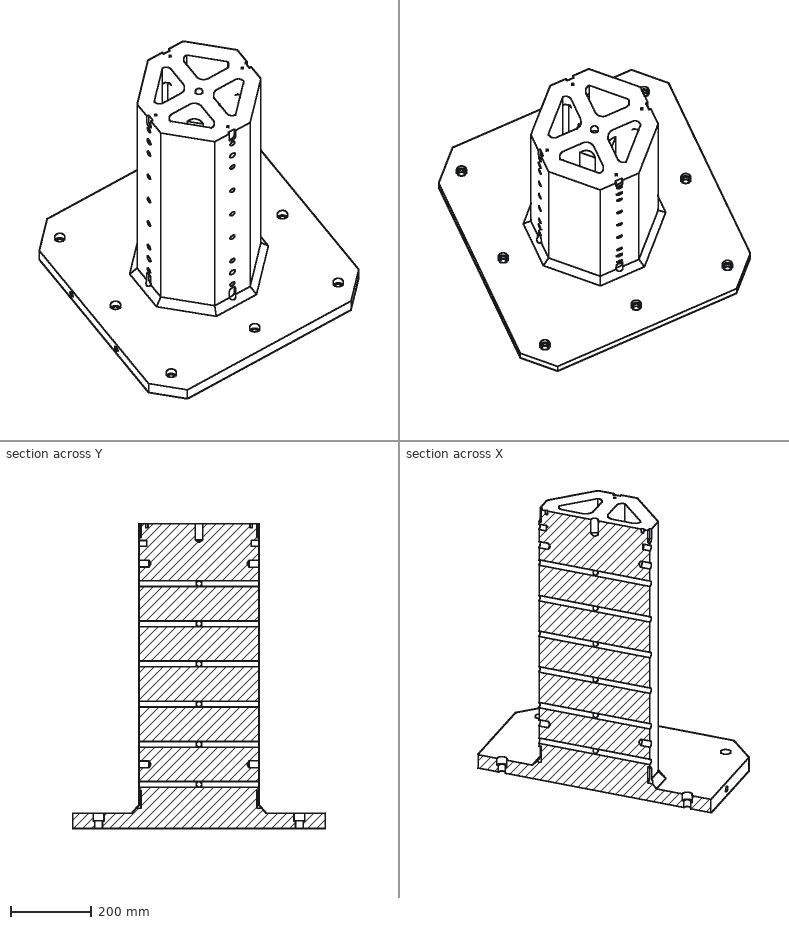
import cadquery as cq
import math

height = 760.0
plate_side = 630.0
plate_thickness = 39.0
plate_corner_cut = 70.0
mount_spacing = 250.0
mount_hole_diameter = 18.0
mount_counterbore_diameter = 26.0
mount_counterbore_depth = plate_thickness / 2
edge_hole_spacing = 201.0
edge_hole_diameter = 14.0
edge_hole_depth = 25.0

column_width = 300.0
column_diagonal_width = 287.0
foot_flare = 17.5
foot_height = 20.0

wall = 40.0
rib_thickness = 40.0
core_corner = 29.0
cap_thickness = 67.0
window_inner_radius = 21.0
window_tip_radius = 15.0

lowest_face_hole = 110.0
highest_face_hole = 710.5
through_hole_count = 6
face_hole_pitch = (highest_face_hole - lowest_face_hole) / through_hole_count
face_hole_diameter = 14.0
top_face_hole_depth = 20.0
pin_hole_diameter = 16.0
pin_hole_depth = 25.0
slot_width = 18.0
slot_run = 26.0
lower_slot_start = 60.0
slot_depth = 5.0

center_hole_diameter = 18.0
center_hole_depth = 40.0
dowel_diameter = 5.0
dowel_depth = 10.0
dowel_offset = 130.0

drill_tip_angle = 118.0
face_angles = (0, 90, 180, 270)

column_half = column_width / 2
column_half_diagonal = column_diagonal_width / 2
pin_hole_levels = (
    lowest_face_hole + face_hole_pitch / 2,
    highest_face_hole - face_hole_pitch / 2,
)


def octagon(offset):
    """Corner points of the column outline, moved outward by offset."""
    half = column_half + offset
    half_flat = math.sqrt(2) * (column_half_diagonal + offset) - half
    return [
        (half, half_flat),
        (half_flat, half),
        (-half_flat, half),
        (-half, half_flat),
        (-half, -half_flat),
        (-half_flat, -half),
        (half_flat, -half),
        (half, -half_flat),
    ]


def around_axis(tool):
    """Copies of a tool turned to each of the four main faces."""
    copies = cq.Workplane()
    for angle in face_angles:
        copies = copies.add(tool.rotate((0, 0, 0), (0, 0, 1), angle))
    return copies.combine()


def drill(diameter, depth):
    """Drilling tool with a conical tip, entering at the origin and pointing down."""
    radius = diameter / 2
    tip = radius / math.tan(math.radians(drill_tip_angle / 2))
    return (
        cq.Workplane("XZ")
        .polyline([(0, 0), (radius, 0), (radius, -depth), (0, -depth - tip)])
        .close()
        .revolve(360, (0, 0), (0, 1))
    )


def inward(tool, x, face, z):
    """Turn a downward tool so that it enters the -Y face at distance face from the axis."""
    return tool.rotate((0, 0, 0), (1, 0, 0), 90).translate((x, -face, z))


def make_plate():
    return (
        cq.Workplane()
        .box(plate_side, plate_side, plate_thickness, centered=(True, True, False))
        .edges("|Z")
        .chamfer(plate_corner_cut)
    )


def make_column():
    foot = (
        cq.Workplane()
        .workplane(offset=plate_thickness)
        .polyline(octagon(foot_flare))
        .close()
        .workplane(offset=foot_height)
        .polyline(octagon(0))
        .close()
        .loft(ruled=True)
    )
    shaft = (
        cq.Workplane()
        .workplane(offset=plate_thickness)
        .polyline(octagon(0))
        .close()
        .extrude(height - plate_thickness)
    )
    return foot.union(shaft)


def make_cell(inner_cut, bottom, top):
    """One quarter of the hollow interior, with its axis corner cut back by inner_cut."""
    near = rib_thickness / 2
    far = column_half - wall
    diagonal_sum = math.sqrt(2) * (column_half_diagonal - wall)
    outer_corners = [
        (far, near),
        (far, diagonal_sum - far),
        (diagonal_sum - far, far),
        (near, far),
    ]
    if inner_cut > 0:
        inner_corners = [(near, near + inner_cut), (near + inner_cut, near)]
    else:
        inner_corners = [(near, near)]
    return (
        cq.Workplane()
        .workplane(offset=bottom)
        .polyline(outer_corners + inner_corners)
        .close()
        .extrude(top - bottom)
    )


def make_cavity():
    """Interior cell below the cap, leaving a core around the axis."""
    return make_cell(core_corner, 0, height - cap_thickness)


def make_window():
    """Opening through the cap, rounded where the outer walls and the ribs meet."""
    near = rib_thickness / 2
    far = column_half - wall
    window = make_cell(0, height - cap_thickness, height)
    rounded_corners = (
        (near, near, window_inner_radius),
        (far, near, window_tip_radius),
        (near, far, window_tip_radius),
    )
    for x, y, radius in rounded_corners:
        corner = cq.selectors.NearestToPointSelector((x, y, height - cap_thickness / 2))
        window = window.edges("|Z").edges(corner).fillet(radius)
    return window


def make_slot(start, end):
    """Key slot in the -Y face, with its round ends centred at heights start and end."""
    run = end - start
    return (
        cq.Workplane("XZ", origin=(0, -column_half + slot_depth, (start + end) / 2))
        .slot2D(run + slot_width, slot_width, 90)
        .extrude(slot_depth + foot_flare)
    )


def cut_plate_holes(body):
    for x in (-mount_spacing, 0, mount_spacing):
        for y in (-mount_spacing, 0, mount_spacing):
            if x == 0 and y == 0:
                continue
            body = body.cut(
                cq.Workplane(origin=(x, y, 0))
                .circle(mount_hole_diameter / 2)
                .extrude(plate_thickness)
            )
            body = body.cut(
                cq.Workplane(origin=(x, y, plate_thickness))
                .circle(mount_counterbore_diameter / 2)
                .extrude(-mount_counterbore_depth)
            )
    for x in (-edge_hole_spacing / 2, edge_hole_spacing / 2):
        hole = inward(
            drill(edge_hole_diameter, edge_hole_depth), x, plate_side / 2, plate_thickness / 2
        )
        body = body.cut(hole).cut(hole.mirror("XZ"))
    return body


def cut_face_features(body):
    for index in range(through_hole_count):
        level = lowest_face_hole + index * face_hole_pitch
        for plane in ("XZ", "YZ"):
            body = body.cut(
                cq.Workplane(plane, origin=(0, 0, level))
                .circle(face_hole_diameter / 2)
                .extrude(column_half, both=True)
            )

    top_hole = (
        cq.Workplane("XZ", origin=(0, -column_half + top_face_hole_depth, highest_face_hole))
        .circle(face_hole_diameter / 2)
        .extrude(top_face_hole_depth)
    )
    body = body.cut(around_axis(top_hole))
    for level in pin_hole_levels:
        pin_hole = inward(drill(pin_hole_diameter, pin_hole_depth), 0, column_half, level)
        body = body.cut(around_axis(pin_hole))

    lower_slot = make_slot(lower_slot_start, lower_slot_start + slot_run)
    upper_slot = make_slot(height - slot_run, height + slot_width)
    return body.cut(around_axis(lower_slot)).cut(around_axis(upper_slot))


def cut_top_holes(body):
    center_hole = drill(center_hole_diameter, center_hole_depth).translate((0, 0, height))
    dowel_hole = (
        cq.Workplane(origin=(dowel_offset, 0, height))
        .circle(dowel_diameter / 2)
        .extrude(-dowel_depth)
    )
    return body.cut(center_hole).cut(around_axis(dowel_hole))


result = make_plate().union(make_column())
result = result.cut(around_axis(make_cavity())).cut(around_axis(make_window()))
result = cut_plate_holes(result)
result = cut_face_features(result)
result = cut_top_holes(result)